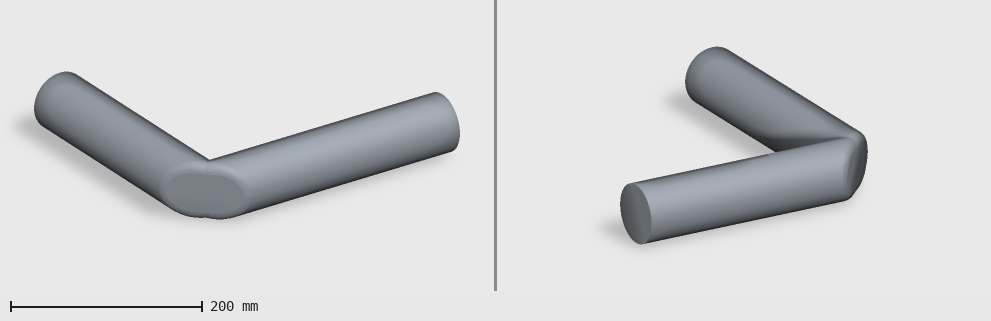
import cadquery as cq

overall_x = 300.0
overall_y = 332.5
bar_diameter = 65.0
edge_radius = 10.0

bar_radius = bar_diameter / 2
x_arm_length = overall_x - bar_radius
y_arm_length = overall_y - bar_radius

outward = cq.Vector(1, -1, 0).normalized()
cut_size = 4 * bar_diameter


def half_space(direction):
    """Large block on the given side of a plane through the axis crossing."""
    plane = cq.Plane(origin=(0, 0, 0), xDir=(0, 0, 1), normal=direction.toTuple())
    return cq.Workplane(plane).rect(cut_size, cut_size).extrude(cut_size)


def bar(plane_name, start, end):
    """Round bar along the plane's normal, between two positions."""
    return (
        cq.Workplane(plane_name)
        .workplane(offset=start)
        .circle(bar_radius)
        .extrude(end - start)
    )


x_arm = bar("YZ", -x_arm_length, bar_diameter)
y_arm = bar("XZ", -y_arm_length, bar_diameter)

def corner_end(arm, miter_direction):
    """Flatten and mitre the arm's end, then round the curved rim of the flat."""
    trimmed = arm.cut(half_space(outward)).cut(half_space(miter_direction))
    flat_selector = cq.selectors.DirectionMinMaxSelector(outward, True)
    return trimmed.faces(flat_selector).edges("not %LINE").fillet(edge_radius)


miter_normal = cq.Vector(1, 1, 0).normalized()
x_arm = corner_end(x_arm, miter_normal)
y_arm = corner_end(y_arm, miter_normal * -1)

result = x_arm.union(y_arm)